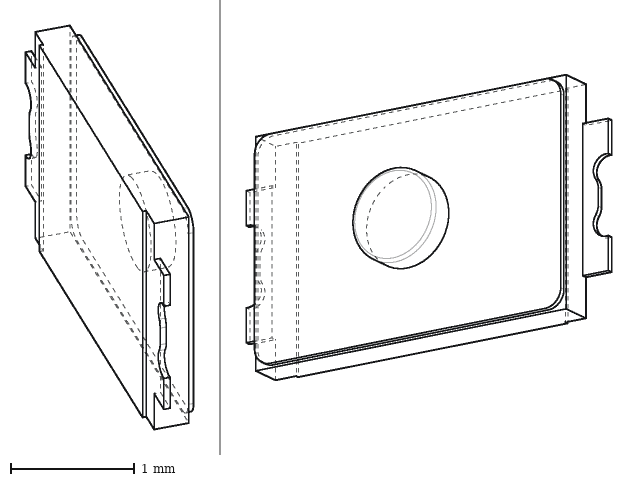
import cadquery as cq
import math

overall_length = 3.5
total_depth = 0.6

body_length = 3.003
body_height = 2.0
body_back = 0.33
step_length = 0.2
step_depth = 0.03

cover_inset = 0.02
cover_back = 0.378
cover_corner_radius = 0.15

button_diameter = 0.798
button_edge_radius = 0.028

tab_height = 1.3
tab_thickness = 0.052
tab_embed = 0.035
notch_radius = 0.125
hollow_center_inset = 0.018
flat_inset = 0.098
flat_half_height = 0.08


def block(length, height, front, back):
    """Box centred on X and Z, spanning front to back along Y."""
    return cq.Workplane("XY").box(length, back - front, height).translate((0, (front + back) / 2, 0))


def make_body():
    base = block(body_length, body_height, step_depth, body_back)
    raised_face = block(body_length - 2 * step_length, body_height, 0, body_back)
    return base.union(raised_face)


def make_cover():
    cover = block(body_length - 2 * cover_inset, body_height - 2 * cover_inset, body_back, cover_back)
    return cover.edges("|Y").fillet(cover_corner_radius)


def make_button():
    button = (
        cq.Workplane("XZ", origin=(0, cover_back, 0))
        .circle(button_diameter / 2)
        .extrude(cover_back - total_depth)
    )
    return button.faces(">Y").edges().fillet(button_edge_radius)


def make_left_tab():
    """Tab whose outer end has two round hollows blended into a central flat."""
    end_x = -overall_length / 2
    root_x = -body_length / 2 + tab_embed
    half_height = tab_height / 2
    flat_x = end_x + flat_inset

    hollow_x = end_x + hollow_center_inset
    rounding_x = flat_x + notch_radius
    center_dx = rounding_x - hollow_x
    center_dz = math.sqrt((2 * notch_radius) ** 2 - center_dx ** 2)
    hollow_z = flat_half_height + center_dz
    touch_x = (hollow_x + rounding_x) / 2
    touch_z = (hollow_z + flat_half_height) / 2
    mouth_z = hollow_z + math.sqrt(notch_radius ** 2 - hollow_center_inset ** 2)

    hollow_mid = (hollow_x + notch_radius, hollow_z)
    half_turn = math.atan2(center_dz, center_dx) / 2
    rounding_mid_x = rounding_x - notch_radius * math.cos(half_turn)
    rounding_mid_z = flat_half_height + notch_radius * math.sin(half_turn)

    profile = (
        cq.Workplane("XZ", origin=(0, step_depth, 0))
        .moveTo(root_x, half_height)
        .lineTo(end_x, half_height)
        .lineTo(end_x, mouth_z)
        .threePointArc(hollow_mid, (touch_x, touch_z))
        .threePointArc((rounding_mid_x, rounding_mid_z), (flat_x, flat_half_height))
        .lineTo(flat_x, -flat_half_height)
        .threePointArc((rounding_mid_x, -rounding_mid_z), (touch_x, -touch_z))
        .threePointArc((hollow_mid[0], -hollow_mid[1]), (end_x, -mouth_z))
        .lineTo(end_x, -half_height)
        .lineTo(root_x, -half_height)
        .close()
    )
    return profile.extrude(-tab_thickness)


left_tab = make_left_tab()
right_tab = left_tab.mirror("YZ")

result = make_body().union(make_cover()).union(make_button()).union(left_tab).union(right_tab)